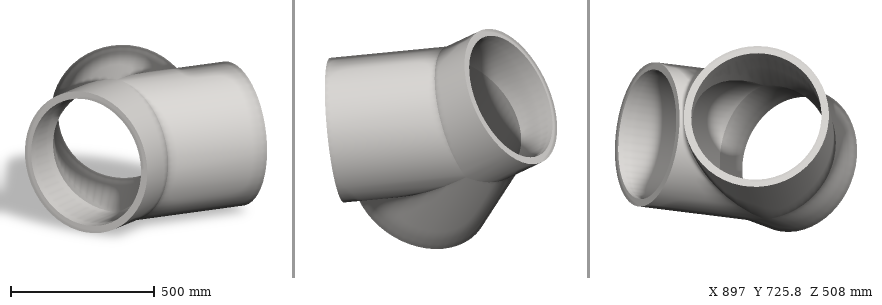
import cadquery as cq
import math

overall_width = 897.0
outer_diameter = 508.0
bore_diameter = 456.0
inlet_length = 203.0
branch_angle = 30.0

angle = math.radians(branch_angle)
rim_reach = outer_diameter / 2 * math.cos(angle)
branch_length = (overall_width / 2 - rim_reach) / math.sin(angle)


def cylinder_from_junction(diameter, length, direction):
    """Solid cylinder starting where the three axes meet, at the origin."""
    return cq.Workplane(
        cq.Solid.makeCylinder(diameter / 2, length, cq.Vector(0, 0, 0), direction)
    )


def three_way(diameter):
    """Inlet and both branches joined, as solid cylinders of one diameter."""
    body = cylinder_from_junction(diameter, inlet_length, cq.Vector(0, -1, 0))
    for side in (-1, 1):
        direction = cq.Vector(side * math.sin(angle), math.cos(angle), 0)
        body = body.union(cylinder_from_junction(diameter, branch_length, direction))
    return body


result = three_way(outer_diameter).cut(three_way(bore_diameter))